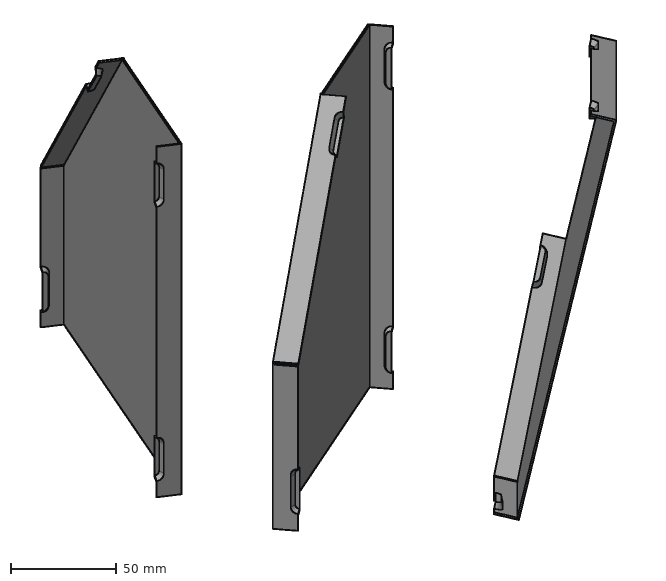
import cadquery as cq
import math

width = 200.0
plate_height = 184.0
flange_depth = 12.5
thickness = 1.0

slope_top_x = 101.2
flange_relief = 0.5

dent_length = 22.8
dent_reach = 3.5
dent_depth = 3.2
dent_draft = 25.0
dent_end_distance = 20.0

slope_bottom = (thickness, plate_height - (slope_top_x - thickness))
slope_top = (slope_top_x, plate_height)
slope_offset = thickness / math.sqrt(2)
slope_length = math.dist(slope_bottom, slope_top)
plate_y = flange_depth - thickness


def shifted_outward(point):
    """Move an (x, z) point from the inner to the outer face of the sloped flange."""
    return (point[0] - slope_offset, point[1] + slope_offset)


def make_plate():
    """Back plate, including the bend strips under the three flanges."""
    outline = [
        (0, 0),
        (width, 0),
        (width, plate_height),
        slope_top,
        shifted_outward(slope_top),
        shifted_outward(slope_bottom),
        slope_bottom,
        (0, slope_bottom[1]),
    ]
    return (
        cq.Workplane("XZ", origin=(0, flange_depth, 0))
        .polyline(outline)
        .close()
        .extrude(thickness)
    )


def make_punch(clearance, depth):
    """Drafted dent body, cut at the open edge; clearance widens its outline."""
    body_width = 2 * flange_depth
    reach = dent_reach + clearance
    body = (
        cq.Workplane("XY")
        .center(0, reach - body_width / 2)
        .sketch()
        .rect(dent_length + 2 * clearance, body_width)
        .vertices()
        .fillet(reach)
        .finalize()
        .extrude(depth, taper=dent_draft)
    )
    keep = cq.Workplane("XY").box(2 * dent_length, reach, depth, centered=(True, False, False))
    return body.intersect(keep)


def make_flange(length, start_relief, end_relief, dent_positions):
    """Flange along local X, open edge at Y = 0, outer face at Z = 0, inward +Z."""
    flange = (
        cq.Workplane("XY")
        .box(length - start_relief - end_relief, plate_y, thickness, centered=False)
        .translate((start_relief, 0, 0))
    )
    wall_clearance = thickness / math.cos(math.radians(dent_draft))
    shell = make_punch(wall_clearance, dent_depth + thickness)
    hollow = make_punch(0, dent_depth)
    for position in dent_positions:
        flange = flange.union(shell.translate((position, 0, 0)))
    for position in dent_positions:
        flange = flange.cut(hollow.translate((position, 0, 0)))
    return flange


def place_flange(flange, start, direction):
    """Stand a flange on its outer-face start point (x, z), running along direction (x, z)."""
    plane = cq.Plane(
        origin=(start[0], 0, start[1]),
        xDir=(direction[0], 0, direction[1]),
        normal=(-direction[1], 0, direction[0]),
    )
    return flange.val().moved(cq.Location(plane))


left_flange = place_flange(
    make_flange(slope_bottom[1], flange_relief, 0, [slope_bottom[1] - dent_end_distance]),
    (0, slope_bottom[1]),
    (0, -1),
)
sloped_flange = place_flange(
    make_flange(slope_length, flange_relief, flange_relief, [dent_end_distance]),
    shifted_outward(slope_top),
    (-1, -1),
)
right_flange = place_flange(
    make_flange(plate_height, 0, 0, [dent_end_distance, plate_height - dent_end_distance]),
    (width, 0),
    (0, 1),
)

result = make_plate().union(left_flange).union(sloped_flange).union(right_flange)